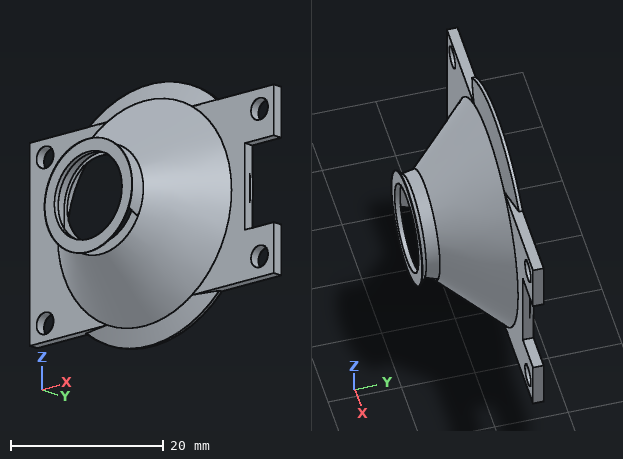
import cadquery as cq


plate_thickness = 1.5
plate_length = 43.5
plate_left = -20.5
plate_right = plate_left + plate_length
left_height = 27.93
right_height = 25.95
hole_diameter = 3.0
left_hole_x = -17.75
left_hole_spacing = 22.85
right_hole_x = 20.45
right_hole_spacing = 20.25
notch_left = 17.9
notch_height = 11.9

rim_diameter = 35.97
rim_radius = rim_diameter / 2
rim_thickness = 0.52
cone_base_radius = 15.5
cone_tip_radius = 7.53
neck_end_radius = 7.18
lip_radius = 7.8
lip_edge_width = 0.1
cone_depth = 9.95
neck_depth = 11.75
total_depth = 12.5

bore_radius = 6.0
mouth_radius = 15.15
slot_half_width = 6.55


def box(x_min, x_max, height):
    """Block through the plate thickness, centered on z = 0."""
    length = x_max - x_min
    return (
        cq.Workplane("XY")
        .box(length, plate_thickness, height)
        .translate((x_min + length / 2, -plate_thickness / 2, 0))
    )


def revolve_profile(points):
    """Revolve a (radius, y) outline around the funnel axis."""
    return cq.Workplane("XY").polyline(points).close().revolve(360, (0, 0, 0), (0, 1, 0))


def make_plate():
    """Stepped plate with an open notch on the +X edge and four mounting holes."""
    plate = box(plate_left, 0, left_height).union(box(0, plate_right, right_height))
    plate = plate.cut(box(notch_left, plate_right, notch_height))
    hole_columns = ((left_hole_x, left_hole_spacing), (right_hole_x, right_hole_spacing))
    for x, spacing in hole_columns:
        holes = (
            cq.Workplane("XZ")
            .pushPoints([(x, -spacing / 2), (x, spacing / 2)])
            .circle(hole_diameter / 2)
            .extrude(plate_thickness)
        )
        plate = plate.cut(holes)
    return plate


def make_funnel():
    """Solid funnel with a flared rim, a tapered neck and a chamfered lip."""
    return revolve_profile([
        (0, 0),
        (rim_radius, 0),
        (rim_radius, -rim_thickness),
        (cone_base_radius, -plate_thickness),
        (cone_tip_radius, -cone_depth),
        (neck_end_radius, -neck_depth),
        (lip_radius, -total_depth + lip_edge_width),
        (lip_radius, -total_depth),
        (0, -total_depth),
    ])


def make_bore():
    """Conical interior that continues as a straight bore through the lip."""
    return revolve_profile([
        (0, 0),
        (mouth_radius, 0),
        (bore_radius, -cone_depth),
        (bore_radius, -total_depth),
        (0, -total_depth),
    ])


def make_neck_slot():
    """U-shaped pocket between cone and lip, round at the top and open at the bottom."""
    return (
        cq.Workplane("XZ", origin=(0, -cone_depth, 0))
        .moveTo(slot_half_width, 0)
        .threePointArc((0, slot_half_width), (-slot_half_width, 0))
        .lineTo(-slot_half_width, -lip_radius)
        .lineTo(slot_half_width, -lip_radius)
        .close()
        .extrude(neck_depth - cone_depth)
    )


result = make_plate().union(make_funnel()).cut(make_bore()).cut(make_neck_slot())